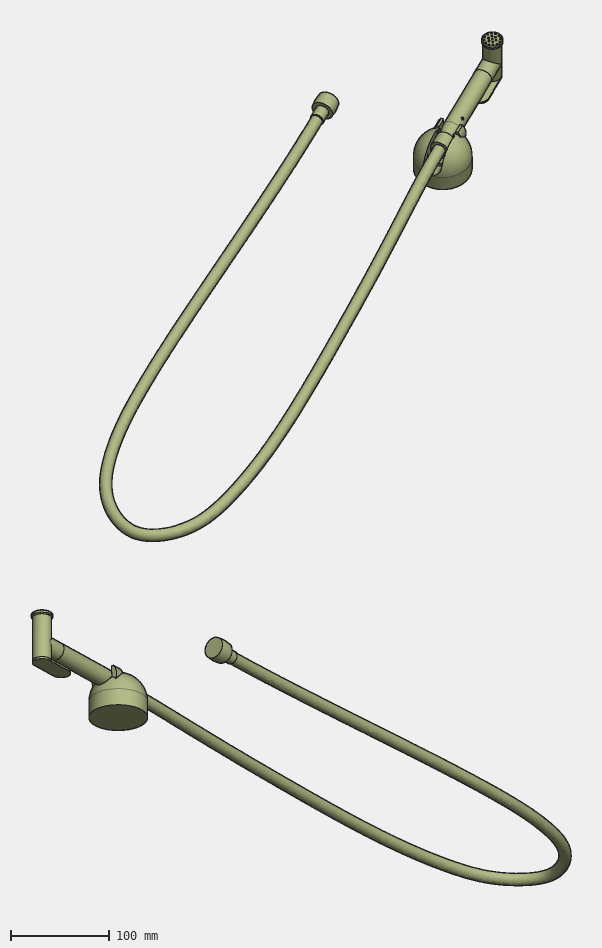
import cadquery as cq
import math

TOTAL_LENGTH = 758.5
AXIS_Z = 36.5

BASE_DIAMETER = 60.0
BASE_RADIUS = BASE_DIAMETER / 2
BASE_HEIGHT = 18.0
CLIP_RADIUS = 16.0
CLIP_FRONT_Y = 11.0
CLIP_BACK_Y = 23.0
CLIP_TOP_Z = 47.0
CLIP_MOUTH = 18.0

GRIP_RADIUS = 10.0
GRIP_BACK_Y = 101.0
NECK_END_DIAMETER = 16.0
NECK_END_RADIUS = NECK_END_DIAMETER / 2
BUTTON_Y = 34.0
BUTTON_ANGLE = 45
BUTTON_DIAMETER = 3.0
BUTTON_DEPTH = 2.0

SWIVEL_FRONT_Y = -8.0
SWIVEL_BACK_Y = 7.2
SLOT_STEPS = [(SWIVEL_FRONT_Y, 3.4), (-16.0, 7.0)]

FACE_DIAMETER = 22.0
FACE_RADIUS = FACE_DIAMETER / 2
FACE_THICKNESS = 4.5
FACE_CHAMFER = 1.1
FACE_TOP_Z = 70.0
HEAD_Y = 124.5
NOZZLE_DIAMETER = 1.9
NOZZLE_DEPTH = 2.0
NOZZLE_RINGS = [(4.2, 6), (8.0, 12)]
LEVER_TIP_Y = 83.5
LEVER_THICKNESS = 2.0
LEVER_BOTTOM_Z = 14.5
LEVER_TOP_Z = LEVER_BOTTOM_Z + LEVER_THICKNESS

INLET_X = -130.5
INLET_RADIUS = 12.0
INLET_LENGTH = 16.0
INLET_HALF_LENGTH = INLET_LENGTH / 2
INLET_END_RADIUS = 11.0
FERRULE_RADIUS = 7.2
FERRULE_END_Y = -22.0
FERRULE_CHAMFER = 1.0

HOSE_RADIUS = 6.45
HOSE_LOW_Y = HEAD_Y + FACE_RADIUS - TOTAL_LENGTH + HOSE_RADIUS
HOSE_PATH = [
    (0, SWIVEL_FRONT_Y),
    (4.2, -121),
    (10.5, -318.5),
    (10.0, -432.5),
    (-2.0, -537.0),
    (-25.0, -592),
    (-67.5, HOSE_LOW_Y),
    (-109.0, -592),
    (-133.5, -537.0),
    (-143.0, -432.5),
    (-140.0, -303.5),
    (-133.5, -152),
    (INLET_X, FERRULE_END_Y),
]


def cone_along_y(back_y, front_y, back_radius, front_radius):
    """Solid of revolution about the sprayer axis, between two Y positions."""
    profile = cq.Workplane("XY").polyline(
        [(0, back_y), (back_radius, back_y), (front_radius, front_y), (0, front_y)]
    )
    return profile.close().revolve(360, (0, 0, 0), (0, 1, 0)).translate((0, 0, AXIS_Z))


def rod_along_y(back_y, front_y, radius):
    return cone_along_y(back_y, front_y, radius, radius)


def block_above(bottom_z, back_y, front_y, width):
    """Block, centred on X, from bottom_z up to the level of the spray face."""
    height = FACE_TOP_Z - bottom_z
    block = cq.Workplane("XY").box(width, back_y - front_y, height, centered=(True, False, False))
    return block.translate((0, front_y, bottom_z))


def make_neck():
    return cone_along_y(CLIP_BACK_Y, SWIVEL_BACK_Y, GRIP_RADIUS, NECK_END_RADIUS)


def make_swivel_nut():
    return rod_along_y(SWIVEL_BACK_Y, SWIVEL_FRONT_Y, GRIP_RADIUS)


def make_holder():
    base = cq.Workplane("XY").circle(BASE_RADIUS).extrude(BASE_HEIGHT)
    dome = cq.Workplane("XY", origin=(0, 0, BASE_HEIGHT)).sphere(BASE_RADIUS)
    dome = dome.intersect(block_above(BASE_HEIGHT, BASE_RADIUS, -BASE_RADIUS, BASE_DIAMETER))
    clip = rod_along_y(CLIP_BACK_Y, CLIP_FRONT_Y, CLIP_RADIUS)
    clip = clip.cut(block_above(CLIP_TOP_Z, CLIP_BACK_Y, CLIP_FRONT_Y, 2 * CLIP_RADIUS))
    holder = base.union(dome).union(clip)

    holder = holder.cut(rod_along_y(BASE_RADIUS, CLIP_BACK_Y, GRIP_RADIUS)).cut(make_neck())
    holder = holder.cut(block_above(AXIS_Z, BASE_RADIUS, SWIVEL_BACK_Y, NECK_END_DIAMETER))
    holder = holder.cut(block_above(AXIS_Z, BASE_RADIUS, CLIP_FRONT_Y, CLIP_MOUTH))

    holder = holder.cut(make_swivel_nut())
    holder = holder.cut(block_above(AXIS_Z, SWIVEL_BACK_Y, SWIVEL_FRONT_Y, 2 * GRIP_RADIUS))

    for step_y, drop in SLOT_STEPS:
        slot_floor = rod_along_y(step_y, -BASE_RADIUS, GRIP_RADIUS).translate((0, 0, -drop))
        holder = holder.cut(slot_floor)
        holder = holder.cut(block_above(AXIS_Z - drop, step_y, -BASE_RADIUS, 2 * GRIP_RADIUS))
    return holder


def make_grip():
    grip = rod_along_y(GRIP_BACK_Y, CLIP_BACK_Y, GRIP_RADIUS).union(make_neck())
    angle = math.radians(BUTTON_ANGLE)
    outward = cq.Vector(math.cos(angle), 0, math.sin(angle))
    floor = cq.Vector(0, BUTTON_Y, AXIS_Z) + outward * (GRIP_RADIUS - BUTTON_DEPTH)
    recess = cq.Solid.makeCylinder(BUTTON_DIAMETER / 2, 2 * BUTTON_DEPTH, floor, outward)
    return grip.cut(cq.Workplane(recess))


def make_spray_head():
    """Upright barrel with a branch of equal radius that meets the grip."""
    barrel = cq.Workplane("XY", origin=(0, HEAD_Y, LEVER_TOP_Z)).circle(GRIP_RADIUS)
    barrel = barrel.extrude(FACE_TOP_Z - FACE_THICKNESS - LEVER_TOP_Z)
    return barrel.union(rod_along_y(HEAD_Y, GRIP_BACK_Y, GRIP_RADIUS))


def make_spray_face():
    face = cq.Workplane("XY", origin=(0, HEAD_Y, FACE_TOP_Z - FACE_THICKNESS))
    face = face.circle(FACE_RADIUS).extrude(FACE_THICKNESS).edges().chamfer(FACE_CHAMFER)
    top = cq.Workplane("XY", origin=(0, HEAD_Y, FACE_TOP_Z))
    nozzles = top.circle(NOZZLE_DIAMETER / 2).extrude(-NOZZLE_DEPTH)
    for ring_radius, count in NOZZLE_RINGS:
        ring = top.polarArray(ring_radius, 0, 360, count).circle(NOZZLE_DIAMETER / 2)
        nozzles = nozzles.add(ring.extrude(-NOZZLE_DEPTH))
    for nozzle in nozzles.vals():
        face = face.cut(cq.Workplane(nozzle))
    return face


def make_lever():
    """Flat tongue under the head, with round ends."""
    length = HEAD_Y + GRIP_RADIUS - LEVER_TIP_Y
    lever = cq.Workplane("XY", origin=(0, LEVER_TIP_Y + length / 2, LEVER_BOTTOM_Z))
    return lever.slot2D(length, 2 * GRIP_RADIUS, 90).extrude(LEVER_THICKNESS)


def make_inlet_nut():
    """Slightly barrel-shaped nut with a plain ferrule in front."""
    profile = cq.Workplane("XY").moveTo(0, -INLET_HALF_LENGTH)
    profile = profile.lineTo(INLET_END_RADIUS, -INLET_HALF_LENGTH)
    profile = profile.threePointArc((INLET_RADIUS, 0), (INLET_END_RADIUS, INLET_HALF_LENGTH))
    profile = profile.lineTo(0, INLET_HALF_LENGTH).close()
    nut = profile.revolve(360, (0, 0, 0), (0, 1, 0)).translate((0, 0, AXIS_Z))
    ferrule = rod_along_y(0, FERRULE_END_Y, FERRULE_RADIUS)
    ferrule = ferrule.faces("<Y").edges().chamfer(FERRULE_CHAMFER)
    return nut.union(ferrule).translate((INLET_X, 0, 0))


def make_hose():
    centre_line = cq.Workplane("XY", origin=(0, 0, AXIS_Z))
    centre_line = centre_line.spline(HOSE_PATH, tangents=[(0, -1), (0, 1)])
    section = cq.Workplane("XZ", origin=(0, SWIVEL_FRONT_Y, AXIS_Z)).circle(HOSE_RADIUS)
    return section.sweep(centre_line)


holder = make_holder()
grip = make_grip()
swivel_nut = make_swivel_nut()
spray_head = make_spray_head()
spray_face = make_spray_face()
lever = make_lever()
inlet_nut = make_inlet_nut()
hose = make_hose()

bodies = [holder, grip, swivel_nut, spray_head, spray_face, lever, inlet_nut, hose]
result = cq.Compound.makeCompound([body.solids().val() for body in bodies])